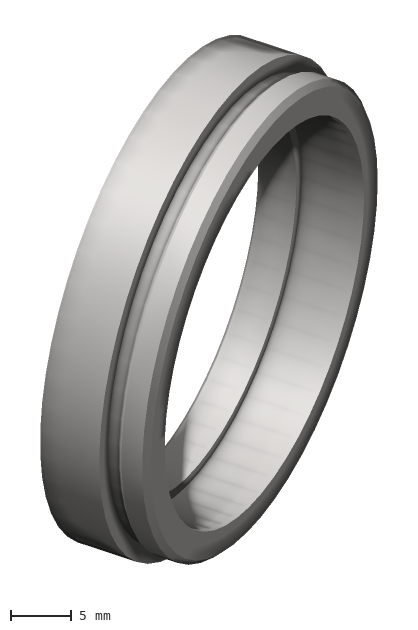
import cadquery as cq

flange_width = 5.5
groove_end = 6.5
overall_length = 9.5
counterbore_start = 3.7

flange_diameter = 44.0
groove_diameter = 40.95
rim_diameter = 42.0
bore_diameter = 34.2
counterbore_diameter = 36.0

rim_chamfer = (rim_diameter - groove_diameter) / 2
bore_chamfer = 0.3


def disc(diameter, start, end):
    """Solid cylinder along X between two stations."""
    return cq.Workplane("YZ", origin=(start, 0, 0)).circle(diameter / 2).extrude(end - start)


flange = disc(flange_diameter, 0, flange_width)
groove_neck = disc(groove_diameter, flange_width, groove_end)
rim = disc(rim_diameter, groove_end, overall_length).edges().chamfer(rim_chamfer)
body = flange.union(groove_neck).union(rim)

bore = disc(bore_diameter, 0, overall_length)
counterbore = disc(counterbore_diameter, counterbore_start, overall_length)
body = body.cut(bore).cut(counterbore)

mouth_edge = body.faces("<X").edges(cq.selectors.RadiusNthSelector(0))
result = mouth_edge.chamfer(bore_chamfer)